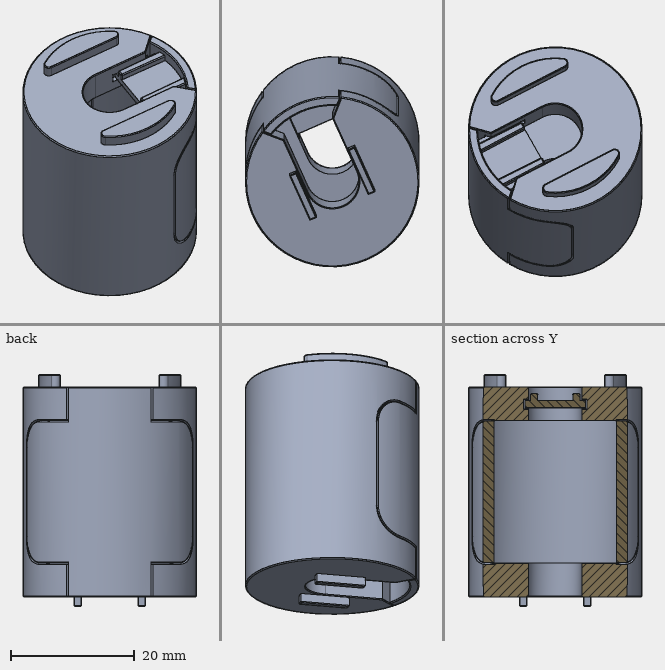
import cadquery as cq
import math

barrel_diameter = 28.0
barrel_height = 33.92
lug_height = 2.0
tab_height = 1.5
edge_break = 0.2
fine_break = 0.15
clearance = 0.2
wall = 1.5
reach = barrel_diameter

barrel_radius = barrel_diameter / 2
chamber_radius = barrel_radius - wall
mid_height = barrel_height / 2

slot_radius = 4.3
flare_start = 9.45
flare_offset = flare_start - slot_radius

chamber_height = 23.0
window_height = chamber_height + 2 * clearance
window_front = 3.9
window_corner = 4.5

lug_flat = 7.95
lug_outer_radius = 11.5
lug_corner = 0.8

tab_length = 8.08
tab_width = 1.2
tab_center = 5.15

tongue_depth = 2.2
tongue_thickness = 1.2
tongue_width = 9.8
tongue_front = 4.0
groove_front = 3.25
rib_height = 1.15
rib_center = 3.4
rib_tip_width = 1.12
rib_root_width = 1.35
rib_break = 0.2

tongue_top = barrel_height - tongue_depth
root_radius = barrel_radius - wall / 2


def ring_wall():
    """Full ring between the chamber and the outside of the barrel."""
    return cq.Workplane("XY").circle(barrel_radius).circle(chamber_radius).extrude(barrel_height)


def side_panel(front, height, corner):
    """Part of the ring behind y = front, with rounded corners on its front side."""
    block = (
        cq.Workplane("XY")
        .box(2 * reach, reach, height)
        .edges("|X and <Y")
        .fillet(corner)
        .translate((0, front + reach / 2, mid_height))
    )
    return ring_wall().intersect(block)


def flare_wedge(offset):
    """Full-height wedge bounded by y = |x| + offset."""
    return (
        cq.Workplane("XY")
        .moveTo(0, offset)
        .lineTo(reach, offset + reach)
        .lineTo(-reach, offset + reach)
        .close()
        .extrude(barrel_height)
    )


def slotted_barrel():
    """Barrel with the flared U-slot and broken edges on both end faces."""
    slot = (
        cq.Workplane("XY")
        .moveTo(-slot_radius, 0)
        .threePointArc((0, -slot_radius), (slot_radius, 0))
        .lineTo(slot_radius, flare_start)
        .lineTo(slot_radius + reach, flare_start + reach)
        .lineTo(-slot_radius - reach, flare_start + reach)
        .lineTo(-slot_radius, flare_start)
        .close()
        .extrude(barrel_height)
    )
    barrel = cq.Workplane("XY").circle(barrel_radius).extrude(barrel_height)
    barrel = barrel.faces("<Z or >Z").edges().chamfer(edge_break)
    slotted = barrel.cut(slot)
    slot_edges = [
        edge
        for edge in slotted.edges("<Z or >Z").vals()
        if edge.geomType() == "LINE" or edge.radius() < chamber_radius
    ]
    return slotted.newObject(slot_edges).chamfer(fine_break)


def chamber():
    """Cylindrical space inside the barrel."""
    return (
        cq.Workplane("XY", origin=(0, 0, mid_height - chamber_height / 2))
        .circle(chamber_radius)
        .extrude(chamber_height)
    )


def tongue_groove():
    """Groove in the slot walls that takes the sides of the tongue."""
    groove = cq.Workplane("XY").box(
        tongue_width + 2 * clearance, reach, tongue_thickness + 2 * clearance
    )
    return groove.translate((0, groove_front + reach / 2, tongue_top - tongue_thickness / 2))


def lug(side):
    """Crescent lug on the top face; side is -1 or +1."""
    half_plane = cq.Workplane("XY").box(reach, reach, 2 * lug_height).translate(
        (side * (lug_flat + reach / 2), 0, 0)
    )
    crescent = cq.Workplane("XY").circle(lug_outer_radius).extrude(lug_height).intersect(half_plane)
    rounded = crescent.edges("|Z").fillet(lug_corner)
    return rounded.faces(">Z").edges().chamfer(fine_break).translate((0, 0, barrel_height))


def tab(side):
    """Flat tab under the bottom face; side is -1 or +1."""
    plate = cq.Workplane("XY").box(tab_width, tab_length, tab_height)
    return plate.faces("<Z").edges().chamfer(fine_break).translate((side * tab_center, 0, -tab_height / 2))


def make_housing():
    window = side_panel(window_front, window_height, window_corner)
    housing = slotted_barrel().cut(chamber()).cut(window).cut(tongue_groove())
    for side in (-1, 1):
        housing = housing.union(lug(side)).union(tab(side))
    return housing


def cover_shell():
    """Full-height strip between the flares plus the panel that fills the window."""
    strip = ring_wall().intersect(flare_wedge(flare_offset + clearance * math.sqrt(2)))
    panel = side_panel(window_front + clearance, chamber_height, window_corner - clearance)
    shell = strip.union(panel)
    outer_face = shell.faces(cq.selectors.AreaNthSelector(-1))
    outer_edges = outer_face.edges().vals()
    inner_rims = shell.faces("<Z or >Z").edges(cq.selectors.RadiusNthSelector(0)).vals()
    return shell.newObject(outer_edges + inner_rims).chamfer(edge_break)


def rib(side):
    """Rib on the tongue that narrows towards its free end; side is -1 or +1."""
    tip = rib_tip_width / 2
    root = rib_root_width / 2
    body = (
        cq.Workplane("XY", origin=(side * rib_center, 0, tongue_top))
        .polyline([(-tip, tongue_front), (tip, tongue_front), (root, root_radius), (-root, root_radius)])
        .close()
        .extrude(rib_height)
    )
    return body.faces(">Z or <Y").edges("not <Z").chamfer(rib_break)


def make_cover():
    length = root_radius - tongue_front
    tongue = cq.Workplane("XY").box(tongue_width, length, tongue_thickness).translate(
        (0, tongue_front + length / 2, tongue_top - tongue_thickness / 2)
    )
    inside = cq.Workplane("XY").circle(root_radius).extrude(barrel_height)
    insert = tongue.union(rib(-1)).union(rib(1)).intersect(inside)
    return cover_shell().union(insert)


housing = make_housing()
cover = make_cover()
result = cq.Compound.makeCompound([housing.solids().val(), cover.solids().val()])